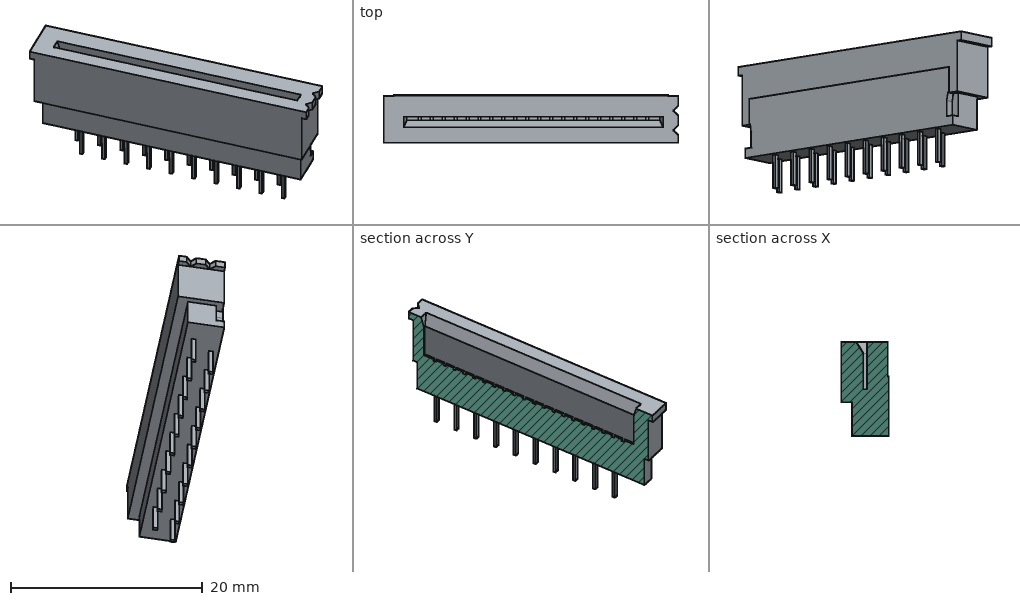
import cadquery as cq


housing_length = 29.7
housing_depth = 4.9
housing_height = 6.3
flange_length = 30.75
flange_height = 0.92
flange_overhang_left = 0.52

base_length = 28.65
base_front_y = -3.75
base_rear_y = 0.11
base_bottom_z = -9.8

panel_length = 27.5
panel_top_z = -3.6

notch_wall_half_length = 13.5
notch_depth = 0.85
notch_bottom_z = -8.8
notch_slope_height = 0.83
notch_slope_overhang = 0.15

groove_half_width = 0.52
first_groove_y = -1.55
groove_spacing = 2.03

contact_row_x = 0.25

slot_length = 27.05
slot_rear_y = -2.18
slot_width = 1.1
slot_floor_width = 0.37
slot_end_taper = 0.35
slot_taper_depth = 1.17
slot_depth = 4.92

contact_count = 20
contact_row_length = 23.7
contact_width = 0.3
cup_radius = 0.25
pin_depth = 0.45
pin_height = 3.5
rear_pin_y = -0.7
front_pin_y = -2.77


def box_between(x_range, y_range, z_range):
    """Axis-aligned box spanning the given (low, high) ranges."""
    sizes = [high - low for low, high in (x_range, y_range, z_range)]
    corner = (x_range[0], y_range[0], z_range[0])
    return cq.Workplane("XY").box(*sizes, centered=False).translate(corner)


def centered_range(length, center=0):
    """Low and high ends of a span of the given length about its center."""
    return (center - length / 2, center + length / 2)


def make_flange():
    """Top flange with V-grooves in its right end, cut back to the housing end."""
    left = -housing_length / 2 - flange_overhang_left
    right = left + flange_length
    flange = box_between((left, right), (-housing_depth, 0), (-flange_height, 0))
    for y in (first_groove_y, first_groove_y - groove_spacing):
        groove = (
            cq.Workplane("XY")
            .polyline([
                (right, y - groove_half_width),
                (housing_length / 2, y),
                (right, y + groove_half_width),
            ])
            .close()
            .extrude(-flange_height)
        )
        flange = flange.cut(groove)
    return flange


def make_corner_notches():
    """Left and right notches whose inner walls lean outward near the top."""
    outer = base_length / 2
    slope_bottom_z = -housing_height - notch_slope_height
    notch = (
        cq.Workplane("XZ", origin=(0, base_rear_y, 0))
        .polyline([
            (outer, notch_bottom_z),
            (notch_wall_half_length, notch_bottom_z),
            (notch_wall_half_length, slope_bottom_z),
            (notch_wall_half_length + notch_slope_overhang, -housing_height),
            (outer, -housing_height),
        ])
        .close()
        .extrude(notch_depth)
    )
    return notch.union(notch.mirror("YZ"))


def make_base():
    """Notched base together with the thin panel above its rear face."""
    base = box_between(
        centered_range(base_length),
        (base_front_y, base_rear_y),
        (base_bottom_z, -housing_height),
    )
    panel = box_between(
        centered_range(panel_length), (0, base_rear_y), (-housing_height, panel_top_z)
    )
    return base.cut(make_corner_notches()).union(panel)


def make_slot():
    """Card slot: a lead-in tapered on its front and ends, then a straight channel."""
    channel_length = slot_length - 2 * slot_end_taper
    mouth_y = slot_rear_y - slot_width / 2
    channel_y = slot_rear_y - slot_floor_width / 2
    lead_in = (
        cq.Workplane("XY")
        .center(contact_row_x, mouth_y)
        .rect(slot_length, slot_width)
        .workplane(offset=-slot_taper_depth)
        .center(0, channel_y - mouth_y)
        .rect(channel_length, slot_floor_width)
        .loft(ruled=True)
    )
    channel = box_between(
        centered_range(channel_length, contact_row_x),
        (slot_rear_y - slot_floor_width, slot_rear_y),
        (-slot_depth, -slot_taper_depth),
    )
    return lead_in.union(channel)


def contact_positions():
    """Evenly spaced X positions of the contacts, from left to right."""
    pitch = contact_row_length / (contact_count - 1)
    first = contact_row_x - contact_row_length / 2
    return [first + pitch * i for i in range(contact_count)]


def make_contact_cup(x):
    """Round-bottomed hollow of one contact, sunk into the slot floor."""
    channel_front_y = slot_rear_y - slot_floor_width
    cylinder = (
        cq.Workplane("YZ", origin=(x, channel_front_y + cup_radius, -slot_depth))
        .circle(cup_radius)
        .extrude(contact_width / 2, both=True)
    )
    channel = box_between(
        centered_range(contact_width, x),
        (channel_front_y, slot_rear_y),
        (-slot_depth - cup_radius, -slot_depth),
    )
    return cylinder.intersect(channel)


def make_pin(x, y):
    """Straight square-cornered pin hanging from the base."""
    return box_between(
        centered_range(contact_width, x),
        centered_range(pin_depth, y),
        (base_bottom_z - pin_height, base_bottom_z),
    )


housing = box_between(
    centered_range(housing_length), (-housing_depth, 0), (-housing_height, 0)
)
result = housing.union(make_flange()).union(make_base()).cut(make_slot())

for index, contact_x in enumerate(contact_positions()):
    pin_y = rear_pin_y if index % 2 == 0 else front_pin_y
    result = result.cut(make_contact_cup(contact_x))
    result = result.union(make_pin(contact_x, pin_y))